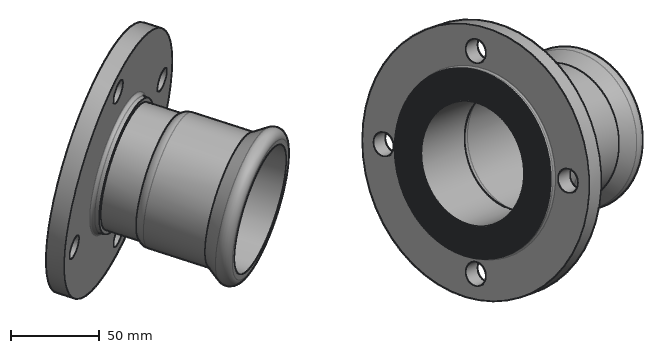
import cadquery as cq
import math

flange_back_x = 14.0
flange_front_x = 2.9
hub_fillet_end_x = 16.3
hub_end_x = 19.0
step_start_x = 40.5
step_end_x = 45.8
socket_end_x = 83.4
length = 100.5

flange_radius = 160 / 2
seal_radius = 110.0 / 2
pipe_radius = 75.8 / 2
pipe_bore_radius = 72.2 / 2
socket_radius = 80.6 / 2
socket_bore_radius = 76.6 / 2
hub_start_radius = 42.5
hub_shoulder_radius = 40.6

seal_fillet = 1.0

bead_outer_radius = 47.0
bead_round = 5.5
bead_center_x = length - bead_round
bead_center_r = bead_outer_radius - bead_round

bolt_count = 4
bolt_hole_diameter = 14.0
bolt_circle_radius = 65.0

groove_count = 18
groove_depth = 0.5
groove_margin = 1.0


def arc_middle(start, end, center):
    """Point halfway along the short arc from start to end about center."""
    start_angle = math.atan2(start[1] - center[1], start[0] - center[0])
    end_angle = math.atan2(end[1] - center[1], end[0] - center[0])
    radius = math.dist(start, center)
    middle = (start_angle + end_angle) / 2
    return (center[0] + radius * math.cos(middle), center[1] + radius * math.sin(middle))


def tangent_arc_center(start, end):
    """Center of the arc from start that ends at end running parallel to the X axis."""
    run = end[0] - start[0]
    rise = end[1] - start[1]
    radius = (run**2 + rise**2) / (2 * abs(rise))
    return (end[0], end[1] + math.copysign(radius, -rise))


def revolve_about_x(profile):
    return profile.close().revolve(360, (0, 0, 0), (1, 0, 0))


def make_body():
    seal_edge = (flange_front_x - seal_fillet, seal_radius)
    seal_root = (flange_front_x, seal_radius + seal_fillet)
    seal_center = (seal_edge[0], seal_root[1])

    hub_start = (flange_back_x, hub_start_radius)
    hub_shoulder = (hub_fillet_end_x, hub_shoulder_radius)
    hub_center = tangent_arc_center(hub_start, hub_shoulder)

    step_start = (step_start_x, pipe_radius)
    step_end = (step_end_x, socket_radius)
    step_center = tangent_arc_center(step_start, step_end)

    dx = bead_center_x - socket_end_x
    dr = bead_center_r - socket_radius
    tangent_angle = math.atan2(dr, dx) + math.pi - math.acos(bead_round / math.hypot(dx, dr))
    bead_center = (bead_center_x, bead_center_r)
    bead_start = (
        bead_center_x + bead_round * math.cos(tangent_angle),
        bead_center_r + bead_round * math.sin(tangent_angle),
    )
    bead_end = (length, bead_center_r)

    bore_step_start = (step_start_x, pipe_bore_radius)
    bore_step_end = (step_end_x, socket_bore_radius)
    bore_step_center = tangent_arc_center(bore_step_start, bore_step_end)

    profile = (
        cq.Workplane("XY")
        .moveTo(0, pipe_bore_radius)
        .lineTo(0, seal_radius)
        .lineTo(*seal_edge)
        .threePointArc(arc_middle(seal_edge, seal_root, seal_center), seal_root)
        .lineTo(flange_front_x, flange_radius)
        .lineTo(flange_back_x, flange_radius)
        .lineTo(*hub_start)
        .threePointArc(arc_middle(hub_start, hub_shoulder, hub_center), hub_shoulder)
        .lineTo(hub_end_x, socket_radius)
        .lineTo(hub_end_x, pipe_radius)
        .lineTo(*step_start)
        .threePointArc(arc_middle(step_start, step_end, step_center), step_end)
        .lineTo(socket_end_x, socket_radius)
        .lineTo(*bead_start)
        .threePointArc(arc_middle(bead_start, bead_end, bead_center), bead_end)
        .lineTo(length, socket_bore_radius)
        .lineTo(*bore_step_end)
        .threePointArc(arc_middle(bore_step_start, bore_step_end, bore_step_center), bore_step_start)
    )
    return revolve_about_x(profile)


def make_bolt_holes():
    return (
        cq.Workplane("YZ")
        .polarArray(bolt_circle_radius, 0, 360, bolt_count)
        .circle(bolt_hole_diameter / 2)
        .extrude(flange_back_x)
    )


def make_face_grooves():
    """Ring cutter whose sawtooth side leaves V grooves meeting at sharp crests."""
    inner = pipe_bore_radius + groove_margin
    pitch = (seal_radius - inner) / groove_count
    profile = cq.Workplane("XY").moveTo(-groove_depth, inner).lineTo(0, inner)
    for index in range(groove_count):
        groove_start = inner + index * pitch
        profile = profile.lineTo(groove_depth, groove_start + pitch / 2)
        profile = profile.lineTo(0, groove_start + pitch)
    profile = profile.lineTo(-groove_depth, seal_radius)
    return revolve_about_x(profile)


result = make_body().cut(make_bolt_holes()).cut(make_face_grooves())